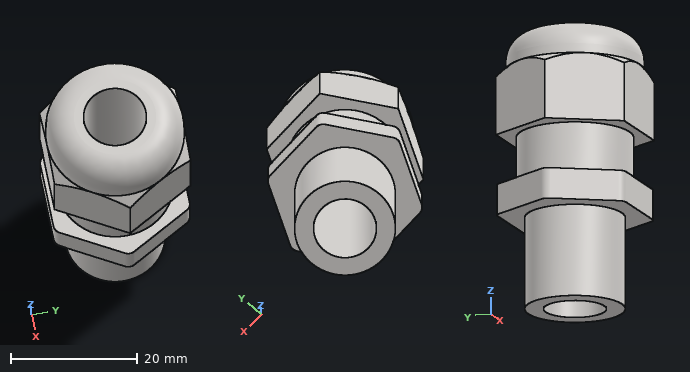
import cadquery as cq
import math

across_flats = 22.0
total_height = 45.15
bore_diameter = 10.0
thread_diameter = 16.0
thread_length = 15.0
flange_thickness = 5.0
flange_corner_radius = 1.5
neck_diameter = 18.65
nut_bottom = 28.2
nut_top = 39.15
nut_corner_drop = 1.4
dome_radius = 4.45

across_corners = across_flats / math.cos(math.radians(30))
cap_radius = across_flats / 2
corner_radius = across_corners / 2
flange_top = thread_length + flange_thickness


def cylinder(diameter, bottom, top):
    return cq.Workplane("XY").workplane(offset=bottom).circle(diameter / 2).extrude(top - bottom)


def hexagon(bottom, top):
    """Hexagonal prism with two corners on the X axis."""
    return cq.Workplane("XY").workplane(offset=bottom).polygon(6, across_corners).extrude(top - bottom)


def chamfered_nut():
    """Hexagon whose upper corners are turned down by a cone."""
    turned_envelope = (
        cq.Workplane("XZ")
        .moveTo(0, nut_bottom)
        .lineTo(corner_radius, nut_bottom)
        .lineTo(corner_radius, nut_top - nut_corner_drop)
        .lineTo(cap_radius, nut_top)
        .lineTo(0, nut_top)
        .close()
        .revolve(360, (0, 0, 0), (0, 1, 0))
    )
    return hexagon(nut_bottom, nut_top).intersect(turned_envelope)


def domed_cap():
    """Round cap with a large rounded upper edge."""
    return cylinder(across_flats, nut_top, total_height).faces(">Z").edges().fillet(dome_radius)


thread = cylinder(thread_diameter, 0, thread_length)
flange = hexagon(thread_length, flange_top).edges("|Z").fillet(flange_corner_radius)
neck = cylinder(neck_diameter, flange_top, nut_bottom)
bore = cylinder(bore_diameter, 0, total_height)

result = thread.union(flange).union(neck).union(chamfered_nut()).union(domed_cap()).cut(bore)